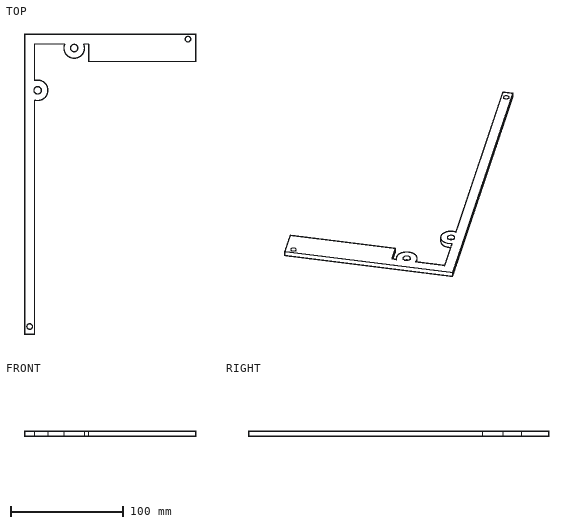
import cadquery as cq

length_x = 152.28
length_y = 267.03
thickness = 4.5

arm_width = 9.0

plate_start_x = 57.0
plate_depth = 24.5

ear_hole_diameter = 6.4
ear_wall = 6.0
ear_diameter = ear_hole_diameter + 2 * ear_wall
ear_centers = [(44.1, -12.4), (11.6, -50.0)]

end_hole_diameter = 4.8
end_hole_margin = 7.03
end_hole_edge_offset = arm_width / 2
end_hole_centers = [
    (length_x - end_hole_margin, -end_hole_edge_offset),
    (end_hole_edge_offset, -length_y + end_hole_margin),
]


def make_frame():
    """L-shaped plate whose short arm widens into the label plate."""
    outline = [
        (0, 0),
        (length_x, 0),
        (length_x, -plate_depth),
        (plate_start_x, -plate_depth),
        (plate_start_x, -arm_width),
        (arm_width, -arm_width),
        (arm_width, -length_y),
        (0, -length_y),
    ]
    return cq.Workplane("XY").polyline(outline).close().extrude(thickness)


def make_cylinders(centers, diameter):
    """Full-thickness cylinders standing on the given centers."""
    return cq.Workplane("XY").pushPoints(centers).circle(diameter / 2).extrude(thickness)


frame = make_frame()
ears = make_cylinders(ear_centers, ear_diameter)
ear_holes = make_cylinders(ear_centers, ear_hole_diameter)
end_holes = make_cylinders(end_hole_centers, end_hole_diameter)

result = frame.union(ears).cut(ear_holes).cut(end_holes)